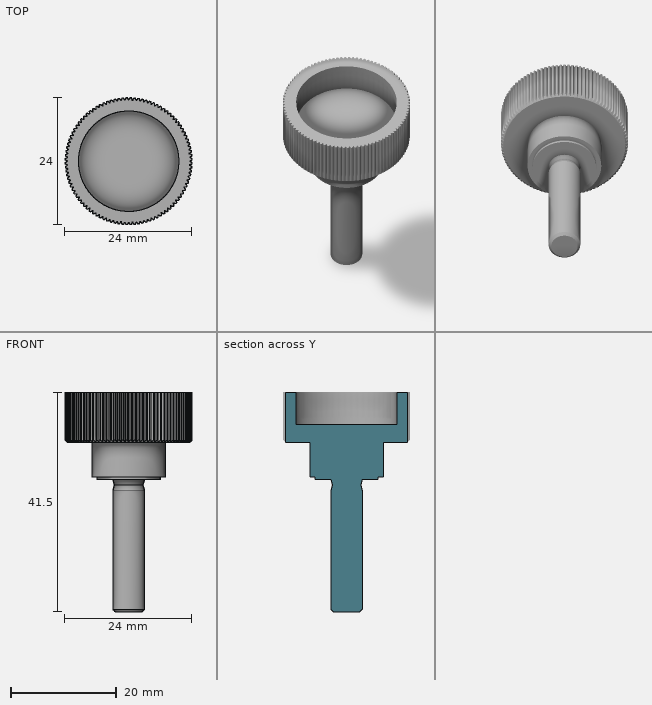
import cadquery as cq
import math

shank_radius = 3.0
shank_chamfer = 0.5
shank_top = 23.0

undercut_depth = 0.27
undercut_height = 2.0

collar_radius = 6.97
seat_radius = 6.0
seat_height = 0.5

total_height = 41.5
head_radius = 12.0
head_height = 9.5
head_chamfer = 0.5
pocket_radius = 9.5
pocket_depth = 6.0

groove_count = 100
groove_depth = 0.43
groove_angle = 60.0

waist_radius = shank_radius - undercut_depth
waist_z = shank_top + undercut_height / 2
seat_bottom = shank_top + undercut_height
collar_bottom = seat_bottom + seat_height
head_bottom = total_height - head_height


def turned_body():
    """Half section in the XZ plane, revolved about Z."""
    section = [
        (0, 0),
        (shank_radius - shank_chamfer, 0),
        (shank_radius, shank_chamfer),
        (shank_radius, shank_top),
        (waist_radius, waist_z),
        (shank_radius, seat_bottom),
        (seat_radius, seat_bottom),
        (seat_radius, collar_bottom),
        (collar_radius, collar_bottom),
        (collar_radius, head_bottom),
        (head_radius - head_chamfer, head_bottom),
        (head_radius, head_bottom + head_chamfer),
        (head_radius, total_height),
        (pocket_radius, total_height),
        (pocket_radius, total_height - pocket_depth),
        (0, total_height - pocket_depth),
    ]
    return cq.Workplane("XZ").polyline(section).close().revolve(360, (0, 0), (0, 1))


def knurled_blank():
    """Prism with the knurled outline, reaching from the collar to the head's top face."""
    half_width = groove_depth * math.tan(math.radians(groove_angle / 2))
    half_spread = math.asin(half_width / head_radius)
    pitch = 2 * math.pi / groove_count
    root_radius = head_radius * math.cos(half_spread) - groove_depth

    def polar(radius, angle):
        return radius * math.cos(angle), radius * math.sin(angle)

    base = cq.Workplane("XY", origin=(0, 0, head_bottom))
    outline = base.moveTo(*polar(head_radius, -half_spread))
    for index in range(groove_count):
        root_angle = index * pitch
        outline = outline.lineTo(*polar(root_radius, root_angle))
        outline = outline.lineTo(*polar(head_radius, root_angle + half_spread))
        crest_middle = polar(head_radius, root_angle + pitch / 2)
        crest_end = polar(head_radius, root_angle + pitch - half_spread)
        outline = outline.threePointArc(crest_middle, crest_end)
    return outline.close().extrude(head_height)


def lower_envelope():
    """Plain cylinder that leaves everything below the head untouched."""
    return cq.Workplane("XY").circle(collar_radius).extrude(head_bottom)


result = turned_body().intersect(knurled_blank().union(lower_envelope()))